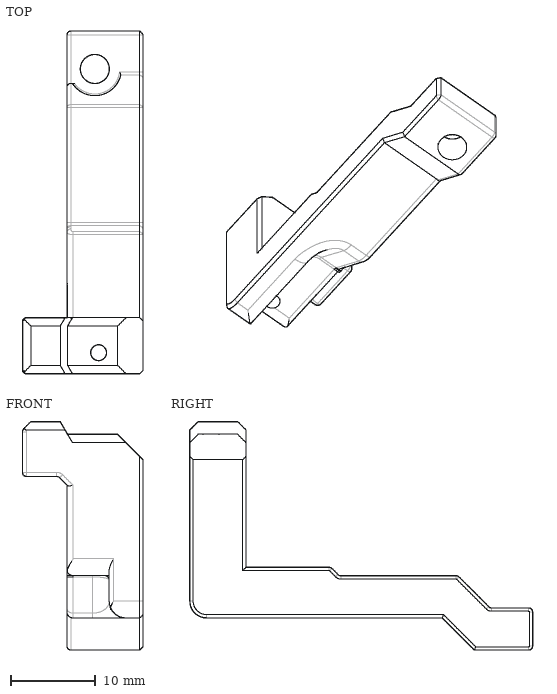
import cadquery as cq
import math

width = 9.0
length = 40.5

foot_height = 5.0
beam_underside = 3.8
rear_beam_top = beam_underside + 5.0
front_beam_top = beam_underside + 6.0
foot_ramp_start = 33.6
top_ramp_start = 31.65
step_end = 17.65
step_start = step_end - front_beam_top + rear_beam_top

column_depth = 6.65
column_top = 25.5
column_slant = 3.0

arm_reach = 5.25
arm_top = 27.0
arm_underside = 20.5
arm_gusset = 1.0
arm_step_x = 0.087
arm_step_slope = math.tan(math.radians(60))
top_bevel = 1.0

notch_width = 5.0
notch_roof = rear_beam_top
notch_ramp_start = 15.7
notch_ramp_end = notch_ramp_start - notch_roof + beam_underside

small_fillet = 0.5
large_fillet = 0.75
round_fillet = 2.0
right_chamfer = 0.4

screw_x = 3.3
screw_y = 36.0
screw_diameter = 3.4
screw_head_diameter = 6.3
seat_wall_y = 34.3
seat_opening_depth = 1.0
seat_fillet = 0.2
pin_x = 3.75
pin_y = 2.5
pin_diameter = 1.85

tolerance = 0.01


def side_prism(points, x_start, x_end):
    """Extrude a (Y, Z) outline along X."""
    return cq.Workplane("YZ", origin=(x_start, 0, 0)).polyline(points).close().extrude(x_end - x_start)


def front_prism(points):
    """Extrude an (X, Z) outline over the column's depth."""
    return cq.Workplane("XZ").polyline(points).close().extrude(-column_depth)


def edges_where(solid, keep):
    """Pick the edges whose bounding box satisfies keep."""
    edges = [edge for edge in solid.edges().vals() if keep(edge.BoundingBox())]
    return solid.newObject(edges)


def cross_edges(solid, places):
    """Pick the edges parallel to X that pass through the given (Y, Z) places."""
    def keep(box):
        along_x = box.ylen < tolerance and box.zlen < tolerance
        return along_x and any(math.dist((box.ymin, box.zmin), place) < tolerance for place in places)
    return edges_where(solid, keep)


def make_beam():
    """Cranked beam along Y, with its bends and its far end rounded."""
    foot_top_end = (length, foot_height)
    foot_bottom_end = (length, 0)
    ramp_bottom = (top_ramp_start + rear_beam_top - foot_height, foot_height)
    ramp_top = (top_ramp_start, rear_beam_top)
    step_bottom = (step_end, rear_beam_top)
    step_top = (step_start, front_beam_top)
    beam = side_prism(
        [
            (0, beam_underside),
            (foot_ramp_start - beam_underside, beam_underside),
            (foot_ramp_start, 0),
            foot_bottom_end,
            foot_top_end,
            ramp_bottom,
            ramp_top,
            step_bottom,
            step_top,
            (0, front_beam_top),
        ],
        0,
        width,
    )
    rounded = [foot_bottom_end, foot_top_end, ramp_bottom, ramp_top, step_bottom]
    return cross_edges(beam, rounded).fillet(small_fillet)


def beveled_side_outline(top):
    """Column outline seen along X, with both top corners beveled."""
    return [
        (0, beam_underside),
        (column_depth, beam_underside),
        (column_depth, top - top_bevel),
        (column_depth - top_bevel, top),
        (top_bevel, top),
        (0, top - top_bevel),
    ]


def make_column():
    """Column with its overhanging arm; each of the two tops carries its own bevel."""
    step_low = (arm_step_x + column_slant / arm_step_slope, column_top - column_slant)
    step_high = (arm_step_x - (arm_top - column_top) / arm_step_slope, arm_top)
    arm = front_prism(
        [
            (-arm_reach, arm_underside),
            (-arm_gusset, arm_underside),
            (0, arm_underside - arm_gusset),
            (step_low[0], arm_underside - arm_gusset),
            step_low,
            step_high,
            (top_bevel - arm_reach, arm_top),
            (-arm_reach, arm_top - top_bevel),
        ]
    )
    shaft = front_prism(
        [
            (0, beam_underside),
            (width, beam_underside),
            (width, column_top - column_slant),
            (width - column_slant, column_top),
            (0, column_top),
        ]
    )
    arm = arm.intersect(side_prism(beveled_side_outline(arm_top), -arm_reach, width))
    shaft = shaft.intersect(side_prism(beveled_side_outline(column_top), 0, width))

    def is_gusset_bend(box):
        return abs(box.xmin + arm_gusset) < tolerance and box.xlen < tolerance
    arm = edges_where(arm, is_gusset_bend).fillet(small_fillet)
    return shaft.union(arm)


def make_notch():
    """Ramped notch under the front left corner, with its deep upright corner rounded."""
    notch = side_prism(
        [
            (0, beam_underside),
            (notch_ramp_start, beam_underside),
            (notch_ramp_end, notch_roof),
            (0, notch_roof),
        ],
        0,
        notch_width,
    )

    def is_deep_corner(box):
        return box.xmin > notch_width - tolerance and box.ylen > tolerance and box.zlen > tolerance
    return edges_where(notch, is_deep_corner).fillet(round_fillet)


def notch_roof_fillet(notch):
    """Material that rounds the inside corner where the roof meets the wall and the ramp."""
    def is_inside_roof_edge(box):
        at_roof = box.zmin > notch_roof - tolerance
        return at_roof and box.xmax > tolerance and box.ymax > tolerance
    return notch.cut(edges_where(notch, is_inside_roof_edge).fillet(small_fillet))


def screw_seat():
    """Clearance for the screw head with a rounded base, open towards the left side."""
    depth = rear_beam_top - foot_height
    head = cq.Workplane("XY", origin=(screw_x, screw_y, foot_height)).circle(screw_head_diameter / 2)
    head = head.extrude(depth).faces("<Z").edges().fillet(seat_fillet)
    opening = (
        cq.Workplane("XY", origin=(0, seat_wall_y, foot_height))
        .rect(seat_opening_depth, screw_y - seat_wall_y, centered=False)
        .extrude(depth)
    )
    return head.union(opening)


def corner_cutter(plane, corner, sides, radius, start, end):
    """What a rounding removes from a straight convex edge running from start to end across the plane.

    corner is the edge's place in the plane; sides gives the direction (+1 or -1) of the material on each axis.
    """
    along = {"YZ": (start, 0, 0), "XZ": (0, start, 0), "XY": (0, 0, start)}[plane]
    depth = start - end if plane == "XZ" else end - start
    u, v = corner
    side_u, side_v = sides
    bow = radius * (1 - math.sqrt(0.5))
    return (
        cq.Workplane(plane, origin=along)
        .moveTo(u, v)
        .lineTo(u + side_u * radius, v)
        .threePointArc((u + side_u * bow, v + side_v * bow), (u, v + side_v * radius))
        .close()
        .extrude(depth)
    )


def front_rounding():
    """Rounds the front bottom edge of the rail beside the notch."""
    return corner_cutter("YZ", (0, beam_underside), (1, 1), round_fillet, 0, width)


def notch_mouth():
    """Flare of the notch at the front face: wide over the roof, narrow along the upright wall."""
    flare_top = notch_roof + round_fillet
    over_roof = side_prism(
        [(0, beam_underside), (round_fillet, beam_underside), (round_fillet, notch_roof), (0, notch_roof)],
        0,
        width,
    ).union(corner_cutter("YZ", (0, notch_roof), (1, 1), round_fillet, 0, width))
    beside_wall = (
        cq.Workplane("XY")
        .rect(notch_width, round_fillet, centered=False)
        .extrude(flare_top)
        .union(corner_cutter("XY", (notch_width, 0), (1, 1), small_fillet, 0, flare_top))
    )
    return over_roof.intersect(beside_wall)


def notch_roof_rounding():
    """Rounds the left edge of the notch's roof."""
    return corner_cutter("XZ", (0, notch_roof), (1, 1), large_fillet, 0, notch_ramp_end)


def round_notch_bottom(body):
    """Round the bottom edge of the notch's upright wall."""
    def is_wall_bottom(box):
        on_wall = abs(box.xmin - notch_width) < tolerance and box.xlen < tolerance
        at_bottom = abs(box.zmin - beam_underside) < tolerance and box.zlen < tolerance
        return on_wall and at_bottom
    return edges_where(body, is_wall_bottom).fillet(round_fillet)


def round_thick_left_edges(body):
    """Round the left edges of the column, the front beam's top, the beam's underside and the ramp."""
    def is_thick_edge(box):
        on_left = abs(box.xmin) < tolerance and box.xlen < tolerance
        level = box.zlen < tolerance
        underside = level and abs(box.zmin - beam_underside) < tolerance
        beam_top = level and abs(box.zmin - front_beam_top) < tolerance
        column_upright = box.ylen < tolerance and box.zmax > front_beam_top + tolerance
        return on_left and (underside or beam_top or column_upright)
    return edges_where(body, is_thick_edge).fillet(large_fillet)


def round_thin_left_edges(body):
    """Round the remaining left edges of the beam, from the step to the foot."""
    def is_thin_edge(box):
        on_left = abs(box.xmin) < tolerance and box.xlen < tolerance
        return on_left and box.ymin > step_start + tolerance
    return edges_where(body, is_thin_edge).fillet(small_fillet)


def round_arm(body):
    """Round the arm's underside, gusset and free end, leaving the beveled top crisp."""
    def is_arm_edge(box):
        free_end = box.xmax < tolerance - arm_reach
        gusset_bottom = arm_underside - arm_gusset - large_fillet
        flat_side = box.ylen < tolerance and -arm_reach - tolerance < box.xmin < -tolerance
        underside = box.zmin > gusset_bottom - tolerance and box.zmax < arm_underside + tolerance
        return free_end or (flat_side and underside)
    return edges_where(body, is_arm_edge).fillet(small_fillet)


def chamfer_right_side(body):
    """Chamfer the right face's outline below the column's slanted corner."""
    def is_right_outline(box):
        on_right = box.xmin > width - tolerance
        return on_right and box.zmin < column_top - column_slant - tolerance
    return edges_where(body, is_right_outline).chamfer(right_chamfer)


def vertical_hole(x, y, diameter):
    return cq.Workplane("XY", origin=(x, y, 0)).circle(diameter / 2).extrude(arm_top)


notch = make_notch()
result = make_beam().union(make_column()).cut(notch).cut(screw_seat())
result = round_notch_bottom(result)
result = round_thick_left_edges(result)
result = round_thin_left_edges(result)
result = round_arm(result)
result = result.union(notch_roof_fillet(notch))
result = result.cut(front_rounding()).cut(notch_mouth()).cut(notch_roof_rounding())
result = chamfer_right_side(result)
result = result.cut(vertical_hole(screw_x, screw_y, screw_diameter))
result = result.cut(vertical_hole(pin_x, pin_y, pin_diameter))